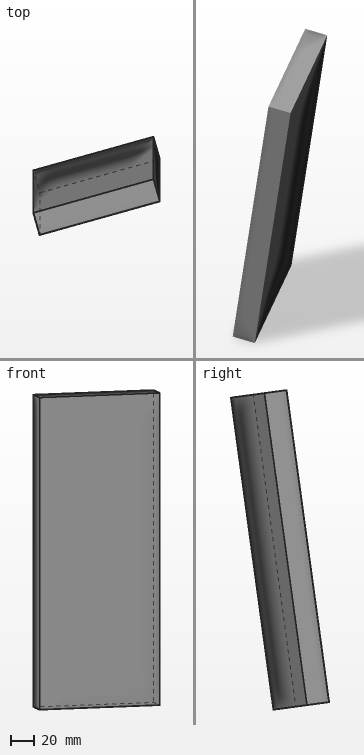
import cadquery as cq

plate_width = 107.32
plate_thickness = 20.0
plate_length = 270.705

turn_angle = 15.757
lean_angle = 7.76

ORIGIN = (0, 0, 0)
X_AXIS = (1, 0, 0)
Z_AXIS = (0, 0, 1)


def make_plate():
    """Upright plate centred on the origin, with its broad faces toward -Y and +Y."""
    return cq.Workplane("XY").box(plate_width, plate_thickness, plate_length)


def orient(plate):
    """Turn the upright plate about Z, then lean it about X."""
    turned = plate.rotate(ORIGIN, Z_AXIS, turn_angle)
    return turned.rotate(ORIGIN, X_AXIS, lean_angle)


result = orient(make_plate())